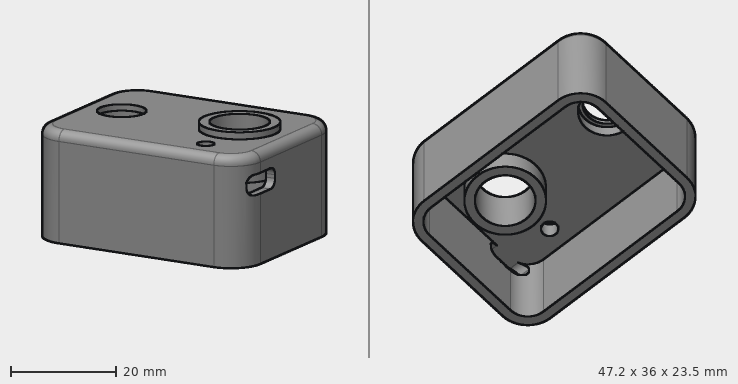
import cadquery as cq

LENGTH = 47.16
WIDTH = 35.95
TOTAL_HEIGHT = 23.5
COLLAR_HEIGHT = 1.4
BODY_HEIGHT = TOTAL_HEIGHT - COLLAR_HEIGHT
CORNER_RADIUS = 6.48
TOP_FILLET = 2.0

WALL = 2.0
ROOF = 4.1
CEILING_Z = BODY_HEIGHT - ROOF

TUBE_X = 11.6
HOLE_ROW_Y = 1.05
TUBE_DIAMETER = 15.53
TUBE_BORE = 11.53
TUBE_LENGTH = 10.0

WINDOW_X = -14.43
WINDOW_DIAMETER = 9.4
WINDOW_RECESS_DIAMETER = 11.0
WINDOW_LIP = 1.25

SIDE_HOLE_DIAMETER = 3.3
SIDE_HOLE_OFFSET = -12.65
PIN_HOLE_DIAMETER = 0.75
PIN_HOLE_OFFSET = 11.4

PORT_START_Y = -15.0
PORT_WIDTH = 9.0
PORT_HEIGHT = 4.1
PORT_CENTER_Z = 15.95
PORT_CORNER_RADIUS = 1.7
PORT_DEPTH = CORNER_RADIUS


def rounded_block(length, width, height, corner_radius):
    """Block standing on Z = 0 with rounded vertical edges."""
    return cq.Workplane("XY").rect(length, width).extrude(height).edges("|Z").fillet(corner_radius)


def cylinder(x, y, diameter, bottom, top):
    """Vertical cylinder between two heights."""
    return cq.Workplane("XY", origin=(x, y, bottom)).circle(diameter / 2).extrude(top - bottom)


def make_shell():
    """Hollow housing with a rounded top rim."""
    body = rounded_block(LENGTH, WIDTH, BODY_HEIGHT, CORNER_RADIUS).faces(">Z").edges().fillet(TOP_FILLET)
    cavity = rounded_block(LENGTH - 2 * WALL, WIDTH - 2 * WALL, CEILING_Z, CORNER_RADIUS - WALL)
    return body.cut(cavity)


def add_tube(body):
    """Tube rising above the roof and reaching down into the cavity."""
    bottom = TOTAL_HEIGHT - TUBE_LENGTH
    tube = cylinder(TUBE_X, HOLE_ROW_Y, TUBE_DIAMETER, bottom, TOTAL_HEIGHT)
    bore = cylinder(TUBE_X, HOLE_ROW_Y, TUBE_BORE, bottom, TOTAL_HEIGHT)
    return body.union(tube).cut(bore)


def cut_window(body):
    """Stepped round window through the roof."""
    recess_top = BODY_HEIGHT - WINDOW_LIP
    opening = cylinder(WINDOW_X, HOLE_ROW_Y, WINDOW_DIAMETER, CEILING_Z, BODY_HEIGHT)
    recess = cylinder(WINDOW_X, HOLE_ROW_Y, WINDOW_RECESS_DIAMETER, CEILING_Z, recess_top)
    return body.cut(opening).cut(recess)


def cut_small_holes(body):
    """Two plain holes through the roof, one on each side of the tube."""
    small_holes = (
        (SIDE_HOLE_OFFSET, SIDE_HOLE_DIAMETER),
        (PIN_HOLE_OFFSET, PIN_HOLE_DIAMETER),
    )
    for offset, diameter in small_holes:
        body = body.cut(cylinder(TUBE_X, HOLE_ROW_Y + offset, diameter, CEILING_Z, BODY_HEIGHT))
    return body


def cut_port(body):
    """Rounded rectangular opening through the +X wall, running into the front corner."""
    port = (
        cq.Workplane("YZ", origin=(LENGTH / 2, PORT_START_Y + PORT_WIDTH / 2, PORT_CENTER_Z))
        .rect(PORT_WIDTH, PORT_HEIGHT)
        .extrude(-PORT_DEPTH)
        .edges("|X")
        .fillet(PORT_CORNER_RADIUS)
    )
    return body.cut(port)


result = cut_port(cut_small_holes(cut_window(add_tube(make_shell()))))